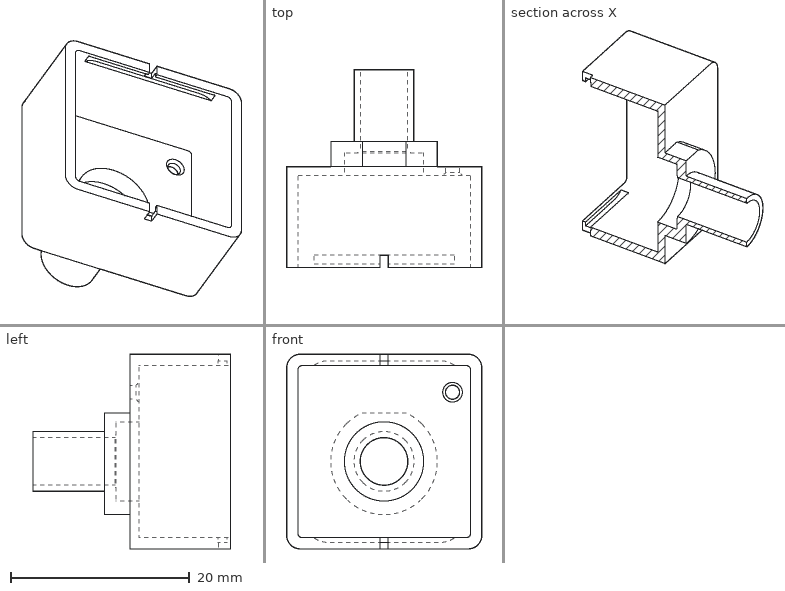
import cadquery as cq
import math

body_width = 21.89
body_height = 21.84
body_depth = 11.30
wall = 1.27
outer_corner_radius = 1.55
inner_corner_radius = 0.5
floor_thickness = 1.0
cavity_depth = body_depth - floor_thickness

axis_x = -0.025
axis_z = -1.1
flange_diameter = 11.94
flange_length = 2.84
flange_flat_height = 5.45
tube_diameter = 6.71
tube_length = 8.03
overall_depth = body_depth + flange_length + tube_length

counterbore_diameter = 8.89
counterbore_depth = 2.54
bore_mouth_diameter = 6.15
bore_diameter = 5.31
bore_mouth_half_angle = 72

vent_x = 7.65
vent_z = 6.65
vent_mouth_diameter = 2.2
vent_diameter = 1.55
vent_mouth_half_angle = 45

notch_width = 0.90
notch_depth = 1.37
groove_start = 0.42
groove_width = 1.0
groove_depth = 0.52
groove_length = 15.7
groove_end_radius = 2.4


def rounded_block(width, height, start, depth, radius):
    """Box with rounded Y edges, reaching from start in the +Y direction."""
    block = cq.Workplane("XY").box(width, depth, height)
    return block.edges("|Y").fillet(radius).translate((0, start + depth / 2, 0))


def rod(diameter, start, length, x=axis_x, z=axis_z):
    """Cylinder along +Y, on the tube axis unless placed elsewhere."""
    plane = cq.Workplane("XZ", origin=(x, start, z))
    return plane.circle(diameter / 2).extrude(-length)


def countersunk_hole(x, z, start, diameter, mouth_diameter, half_angle):
    """Hole from start out through the +Y end, with a conical mouth at start."""
    depth = (mouth_diameter - diameter) / 2 / math.tan(math.radians(half_angle))
    mouth = cq.Workplane("XZ", origin=(x, start, z)).circle(mouth_diameter / 2)
    cone = mouth.workplane(offset=-depth).circle(diameter / 2).loft(combine=True)
    return cone.union(rod(diameter, start, overall_depth - start, x, z))


def make_flange():
    """Disc with one flat facing +Z."""
    flange = rod(flange_diameter, body_depth, flange_length)
    trim = cq.Workplane("XY").box(flange_diameter, 2 * overall_depth, flange_diameter)
    trim_z = axis_z + flange_flat_height + flange_diameter / 2
    return flange.cut(trim.translate((axis_x, 0, trim_z)))


def make_notches():
    """Slots across the rim, through both the top and the bottom wall."""
    slots = cq.Workplane("XY").box(notch_width, 2 * notch_depth, 2 * body_height)
    return slots.translate((axis_x, 0, 0))


def make_groove():
    """Groove in the top wall whose floor sweeps up to the surface at both ends."""
    inner_z = body_height / 2 - wall
    run_out = math.sqrt(groove_end_radius**2 - (groove_end_radius - groove_depth) ** 2)
    half_floor = groove_length / 2 - run_out
    plane = cq.Workplane("XZ", origin=(0, groove_start, inner_z + groove_depth - groove_end_radius))
    outline = plane.slot2D(2 * (half_floor + groove_end_radius), 2 * groove_end_radius)
    return outline.extrude(-groove_width)


def make_housing():
    """Open box with the flange and tube standing on its closed end."""
    shell = rounded_block(body_width, body_height, 0, body_depth, outer_corner_radius)
    cavity_width = body_width - 2 * wall
    cavity_height = body_height - 2 * wall
    cavity = rounded_block(cavity_width, cavity_height, 0, cavity_depth, inner_corner_radius)
    tube = rod(tube_diameter, body_depth, flange_length + tube_length)
    return shell.cut(cavity).union(make_flange()).union(tube)


def make_bore():
    """Counterbore, conical lead-in and through bore on the tube axis."""
    counterbore = rod(counterbore_diameter, cavity_depth, counterbore_depth)
    bore_start = cavity_depth + counterbore_depth
    bore = countersunk_hole(
        axis_x, axis_z, bore_start, bore_diameter, bore_mouth_diameter, bore_mouth_half_angle
    )
    return counterbore.union(bore)


def make_vent():
    """Countersunk hole near the +X, +Z corner of the floor."""
    return countersunk_hole(
        vent_x, vent_z, cavity_depth, vent_diameter, vent_mouth_diameter, vent_mouth_half_angle
    )


top_groove = make_groove()
bottom_groove = top_groove.mirror("XY")

result = make_housing().cut(make_bore()).cut(make_vent()).cut(make_notches())
result = result.cut(top_groove).cut(bottom_groove)